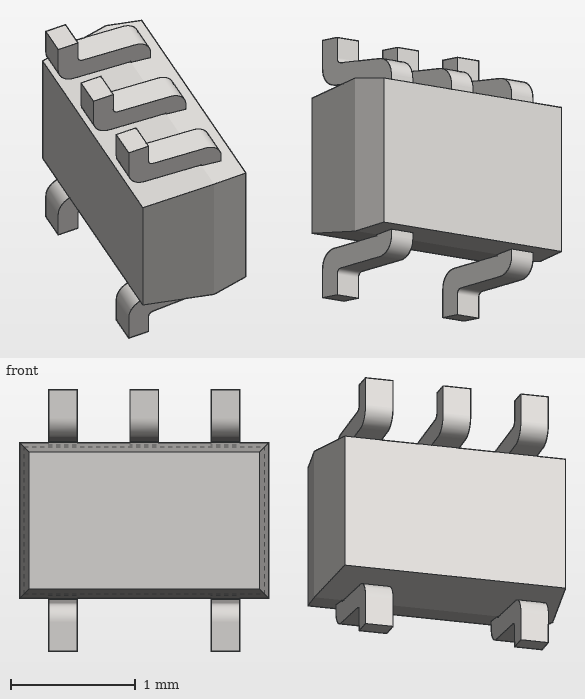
import cadquery as cq
import math

BODY_LENGTH = 2.0
BODY_HEIGHT = 1.25
FRONT_DEPTH = 0.6
BACK_DEPTH = 0.3
DRAFT_ANGLE = 7.0

LEAD_SPAN = 2.1
LEAD_WIDTH = 0.23
LEAD_THICKNESS = 0.176
LEAD_PITCH = 0.65
FOOT_LENGTH = 0.21
FOOT_STANDOFF = 0.048
ROOT_DEPTH = 0.125
ARM_SLOPE = 3.6
OUTER_BEND_RADIUS = 0.15
INNER_BEND_RADIUS = 0.045

TOP_LEAD_POSITIONS = (-LEAD_PITCH, 0, LEAD_PITCH)
BOTTOM_LEAD_POSITIONS = (-LEAD_PITCH, LEAD_PITCH)


def drafted_half(depth):
    """One half of the body, tapering from the parting plane; a positive depth runs toward -Y."""
    return (
        cq.Workplane("XZ")
        .rect(BODY_LENGTH, BODY_HEIGHT)
        .extrude(depth, taper=DRAFT_ANGLE)
    )


def make_body():
    return drafted_half(FRONT_DEPTH).union(drafted_half(-BACK_DEPTH)).solids()


def round_bend(lead, y, z, radius):
    """Round the lead's bend whose sharp corner lies at the given Y and Z."""
    corner = cq.selectors.NearestToPointSelector((0, y, z))
    return lead.edges("|X").edges(corner).fillet(radius)


def make_lead(x_center, body):
    """A gull-wing lead on the top side, ending where its root meets the body."""
    tip_z = LEAD_SPAN / 2
    sole_y = -FRONT_DEPTH - FOOT_STANDOFF
    foot_inner_y = sole_y + LEAD_THICKNESS
    root_back_y = BACK_DEPTH - ROOT_DEPTH
    root_front_y = root_back_y - LEAD_THICKNESS
    root_end_z = 0

    slope = math.tan(math.radians(ARM_SLOPE))
    arm_rise = LEAD_THICKNESS / math.cos(math.radians(ARM_SLOPE))
    foot_corner_z = tip_z - FOOT_LENGTH

    def arm_outer_z(y):
        return foot_corner_z - slope * (y - foot_inner_y)

    def arm_inner_z(y):
        return arm_outer_z(y) - arm_rise

    lead = (
        cq.Workplane("YZ")
        .polyline([
            (sole_y, tip_z),
            (foot_inner_y, tip_z),
            (foot_inner_y, foot_corner_z),
            (root_back_y, arm_outer_z(root_back_y)),
            (root_back_y, root_end_z),
            (root_front_y, root_end_z),
            (root_front_y, arm_inner_z(root_front_y)),
            (sole_y, arm_inner_z(sole_y)),
        ])
        .close()
        .extrude(LEAD_WIDTH / 2, both=True)
    )

    lead = round_bend(lead, sole_y, arm_inner_z(sole_y), OUTER_BEND_RADIUS)
    lead = round_bend(lead, foot_inner_y, foot_corner_z, INNER_BEND_RADIUS)
    lead = round_bend(lead, root_back_y, arm_outer_z(root_back_y), OUTER_BEND_RADIUS)
    return lead.translate((x_center, 0, 0)).cut(body).solids()


body = make_body()
top_leads = [make_lead(x, body) for x in TOP_LEAD_POSITIONS]
bottom_leads = [make_lead(x, body).mirror("XY") for x in BOTTOM_LEAD_POSITIONS]
leads = top_leads + bottom_leads

result = cq.Compound.makeCompound([body.val(), *[lead.val() for lead in leads]])